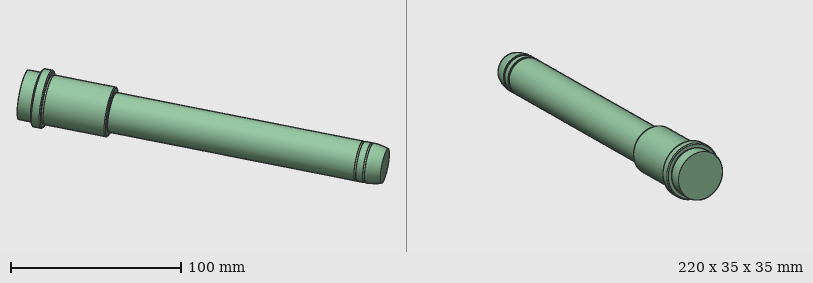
import cadquery as cq

total_length = 220.0
head_radius = 30.0 / 2
collar_radius = 35.0 / 2
shank_radius = 24.0 / 2
tip_radius = 10.3

collar_start = 8.8
collar_width = 6.0
collar_edge = 0.7
front_relief_width = 0.7
back_relief_width = 1.0
shank_relief_width = 0.7
relief_depth = 0.2
head_length = 53.7
head_edge = 0.7

groove_width = 1.0
groove_depth = 0.33
groove_starts = (204.4, 209.7)
nose_start = 212.7
nose_bulge = 0.33

collar_end = collar_start + collar_width


def ring_cut(start, width, radius, depth):
    """Ring that cuts a rectangular groove into a cylinder about X."""
    clearance = 2.2
    return (
        cq.Workplane("YZ", origin=(start, 0, 0))
        .circle(radius + clearance)
        .circle(radius - depth)
        .extrude(width)
    )


nose_middle = (
    (nose_start + total_length) / 2,
    (shank_radius + tip_radius) / 2 + nose_bulge,
)
body = (
    cq.Workplane("XY")
    .moveTo(0, 0)
    .lineTo(0, head_radius)
    .lineTo(head_length - head_edge, head_radius)
    .lineTo(head_length, head_radius - head_edge)
    .lineTo(head_length, shank_radius)
    .lineTo(nose_start, shank_radius)
    .threePointArc(nose_middle, (total_length, tip_radius))
    .lineTo(total_length, 0)
    .close()
    .revolve(360, (0, 0, 0), (1, 0, 0))
)

reliefs = (
    (collar_start - front_relief_width, front_relief_width, head_radius),
    (collar_end, back_relief_width, head_radius),
    (head_length, shank_relief_width, shank_radius),
)
for relief_start, relief_width, radius in reliefs:
    body = body.cut(ring_cut(relief_start, relief_width, radius, relief_depth))

for groove_start in groove_starts:
    body = body.cut(ring_cut(groove_start, groove_width, shank_radius, groove_depth))

collar = (
    cq.Workplane("YZ", origin=(collar_start, 0, 0))
    .circle(collar_radius)
    .extrude(collar_width)
    .edges()
    .chamfer(collar_edge)
)

result = body.union(collar)